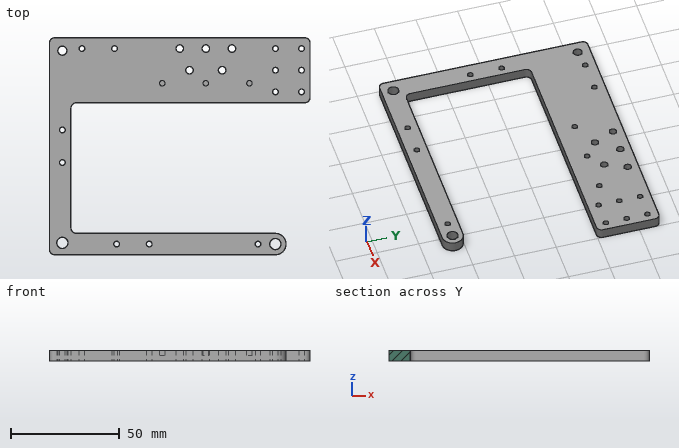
import cadquery as cq

length = 120.0
width = 100.0
thickness = 5.0
spine_width = 10.0
head_width = 30.0
arm_width = 10.0
arm_length = 109.0
outer_radius = 2.5
inner_radius = 2.5

screw_diameter = 2.5
mount_diameter = 3.4
rear_corner_diameter = 4.1
front_corner_diameter = 5.0
blind_diameter = 2.5
blind_depth = thickness / 2
pivot_diameter = 5.0

corner_inset = 6.0
front_corner_y = 5.5
screw_pitch = 15.0
row_pitch = 10.0
rear_row_y = width - 5.0
middle_row_y = rear_row_y - row_pitch
blind_row_y = width - 21.0
end_column_pitch = 12.0
end_first_x = 104.0
rear_screw_x = 15.0
spine_screw_y = 42.5
arm_screw_x = 31.0
arm_tip_screw_x = 96.0
arm_center_y = arm_width / 2
arm_tip_x = arm_length - arm_center_y
mount_center_x = 72.0
mount_pitch = 12.0
blind_pitch = 20.0


def drill(body, points, diameter):
    """Cut through holes at the given points."""
    tool = cq.Workplane("XY").pushPoints(points).circle(diameter / 2).extrude(thickness)
    return body.cut(tool)


head_front_y = width - head_width
body = cq.Workplane("XY").box(length, width, thickness, centered=False).edges("|Z").fillet(outer_radius)
opening = (
    cq.Workplane("XY")
    .box(length, head_front_y - arm_width, thickness, centered=False)
    .translate((spine_width, arm_width, 0))
    .edges("|Z and <X")
    .fillet(inner_radius)
)
arm_end_trim = (
    cq.Workplane("XY")
    .box(length, arm_width, thickness, centered=False)
    .translate((arm_tip_x, 0, 0))
)
arm_tip = (
    cq.Workplane("XY")
    .center(arm_tip_x, arm_center_y)
    .circle(arm_center_y)
    .extrude(thickness)
)
plate = body.cut(opening).cut(arm_end_trim).union(arm_tip)

plate = plate.edges(
    cq.selectors.NearestToPointSelector((length, head_front_y, thickness / 2))
).fillet(outer_radius)

plate = drill(plate, [(corner_inset, width - corner_inset)], rear_corner_diameter)
plate = drill(plate, [(corner_inset, front_corner_y)], front_corner_diameter)

screw_points = [(arm_tip_screw_x, arm_center_y)]
for step in (0, screw_pitch):
    screw_points.append((rear_screw_x + step, rear_row_y))
    screw_points.append((corner_inset, spine_screw_y + step))
    screw_points.append((arm_screw_x + step, arm_center_y))

for column in range(2):
    for row in range(3):
        screw_points.append(
            (end_first_x + column * end_column_pitch, rear_row_y - row * row_pitch)
        )
plate = drill(plate, screw_points, screw_diameter)

mount_points = [(mount_center_x + i * mount_pitch, rear_row_y) for i in (-1, 0, 1)]
mount_points += [(mount_center_x + offset, middle_row_y) for offset in (-screw_pitch / 2, screw_pitch / 2)]
plate = drill(plate, mount_points, mount_diameter)

blind_points = [(mount_center_x + i * blind_pitch, blind_row_y) for i in (-1, 0, 1)]
blind_holes = (
    cq.Workplane("XY")
    .workplane(offset=thickness - blind_depth)
    .pushPoints(blind_points)
    .circle(blind_diameter / 2)
    .extrude(blind_depth)
)
plate = plate.cut(blind_holes)

result = drill(plate, [(arm_tip_x, arm_center_y)], pivot_diameter)